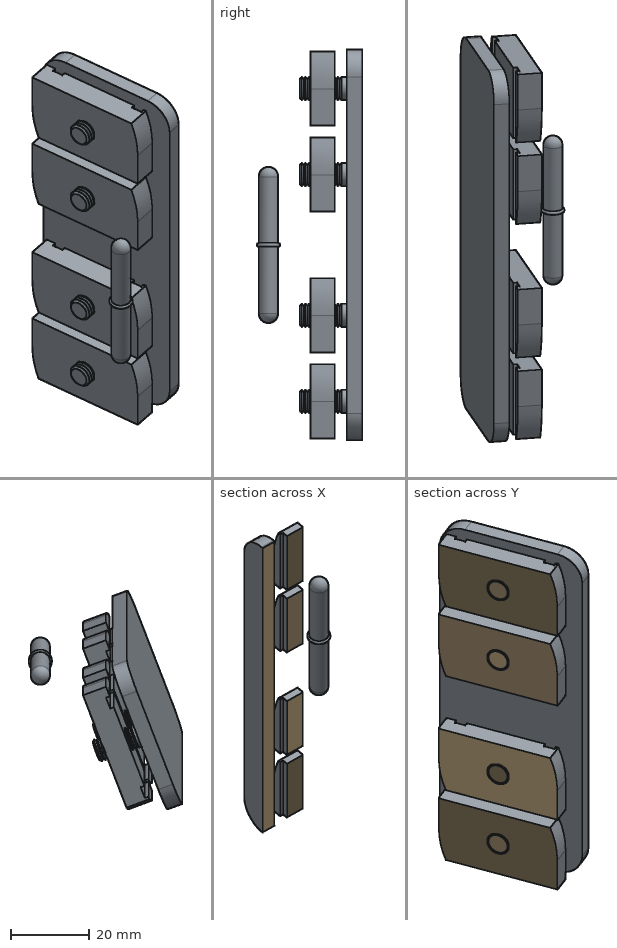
import cadquery as cq
import math

PLATE_WIDTH = 40
PLATE_HEIGHT = 100
PLATE_THICKNESS = 4
PLATE_CORNER_RADIUS = 7

STUD_HEIGHTS = (-40, -18, 18, 40)
STUD_DIAMETER = 6
STUD_ROOT_DIAMETER = 4.9
STUD_LENGTH = 12
STUD_COLLAR_LENGTH = 1.3
STUD_END_CHAMFER = (STUD_DIAMETER - STUD_ROOT_DIAMETER) / 2
THREAD_COUNT = 11
THREAD_PITCH = (STUD_LENGTH - STUD_END_CHAMFER - STUD_COLLAR_LENGTH) / THREAD_COUNT

BLOCK_WIDTH = 33.4
BLOCK_HEIGHT = 19
BLOCK_THICKNESS = 6.3
BLOCK_SIDE_RADIUS = 23.5
BLOCK_GAP = 3
GROOVE_WIDTH = 3
GROOVE_DEPTH = 1
GROOVE_OFFSET = 12.5

PIN_DIAMETER = 5
PIN_LENGTH = 40
PIN_X = 19.2
PIN_Y = -20
BEAD_RADIUS = 0.5


def make_plate():
    """Slab with rounded corners, its front face at Y = 0."""
    return (
        cq.Workplane("XZ")
        .rect(PLATE_WIDTH, PLATE_HEIGHT)
        .extrude(-PLATE_THICKNESS)
        .edges("|Y")
        .fillet(PLATE_CORNER_RADIUS)
    )


def make_stud(height):
    """Peg with a plain collar, ring-shaped V threads and a tapered tip, pointing toward -Y."""
    crest = STUD_DIAMETER / 2
    root = STUD_ROOT_DIAMETER / 2
    profile = cq.Workplane("XY").lineTo(crest, 0).lineTo(crest, -STUD_COLLAR_LENGTH)
    for turn in range(THREAD_COUNT):
        start = STUD_COLLAR_LENGTH + turn * THREAD_PITCH
        profile = profile.lineTo(root, -(start + THREAD_PITCH / 2))
        profile = profile.lineTo(crest, -(start + THREAD_PITCH))
    profile = profile.lineTo(root, -STUD_LENGTH).lineTo(0, -STUD_LENGTH).close()
    return profile.revolve(360, (0, 0), (0, 1)).translate((0, 0, height))


def make_block(height):
    """Block with two diagonally opposite curved sides, a stud hole and two grooves in its back."""
    half_width = BLOCK_WIDTH / 2
    half_height = BLOCK_HEIGHT / 2

    def inset(distance):
        return BLOCK_SIDE_RADIUS - math.sqrt(BLOCK_SIDE_RADIUS**2 - distance**2)

    end_x = half_width - inset(half_height)
    mid_x = half_width - inset(half_height / 2)
    block = (
        cq.Workplane("XZ", origin=(0, -BLOCK_GAP, 0))
        .moveTo(half_width, -half_height)
        .lineTo(half_width, 0)
        .threePointArc((mid_x, half_height / 2), (end_x, half_height))
        .lineTo(-half_width, half_height)
        .lineTo(-half_width, 0)
        .threePointArc((-mid_x, -half_height / 2), (-end_x, -half_height))
        .close()
        .extrude(BLOCK_THICKNESS)
    )

    hole = cq.Workplane("XZ").circle(STUD_DIAMETER / 2).extrude(STUD_LENGTH)
    block = block.cut(hole)

    for side in (-1, 1):
        groove = cq.Workplane("XY").box(GROOVE_WIDTH, 2 * GROOVE_DEPTH, BLOCK_HEIGHT)
        block = block.cut(groove.translate((side * GROOVE_OFFSET, -BLOCK_GAP, 0)))
    return block.translate((0, 0, height))


def make_pin():
    """Rod with hemispherical ends and a half-round bead at mid-length."""
    radius = PIN_DIAMETER / 2
    half_length = PIN_LENGTH / 2
    shoulder = half_length - radius
    diagonal = radius * math.sqrt(0.5)
    profile = (
        cq.Workplane("XZ")
        .moveTo(0, -half_length)
        .threePointArc((diagonal, -shoulder - diagonal), (radius, -shoulder))
        .lineTo(radius, -BEAD_RADIUS)
        .threePointArc((radius + BEAD_RADIUS, 0), (radius, BEAD_RADIUS))
        .lineTo(radius, shoulder)
        .threePointArc((diagonal, shoulder + diagonal), (0, half_length))
        .close()
    )
    return profile.revolve(360, (0, 0), (0, 1)).translate((PIN_X, PIN_Y, 0))


plate = make_plate()
studs = [make_stud(height) for height in STUD_HEIGHTS]
blocks = [make_block(height) for height in STUD_HEIGHTS]
pin = make_pin()

result = cq.Compound.makeCompound(
    [
        plate.val(),
        *[stud.val() for stud in studs],
        *[block.val() for block in blocks],
        pin.val(),
    ]
)